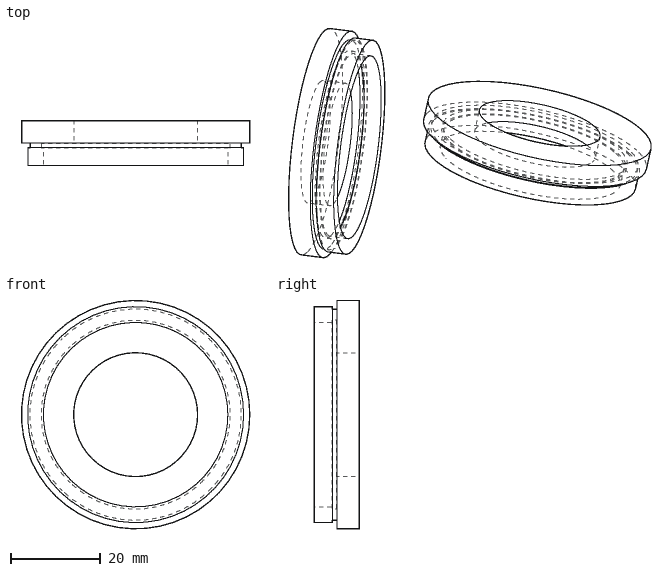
import cadquery as cq

outer_diameter = 50.8
total_width = 10.0
flange_width = 5.0
neck_diameter = 47.0
neck_width = 1.0
rim_diameter = 48.0
recess_diameter = 41.0
recess_depth = 5.0
undercut_diameter = 42.0
undercut_width = 1.0
bore_diameter = 27.5

rim_width = total_width - flange_width - neck_width


def disc(diameter, start, width):
    """Solid disc on the Y axis, extending toward +Y from start."""
    plane = cq.Workplane("XZ", origin=(0, start, 0))
    return plane.circle(diameter / 2).extrude(-width)


rim = disc(rim_diameter, 0, rim_width)
neck = disc(neck_diameter, rim_width, neck_width)
flange = disc(outer_diameter, rim_width + neck_width, flange_width)

recess = disc(recess_diameter, 0, recess_depth)
undercut = disc(undercut_diameter, recess_depth - undercut_width, undercut_width)
bore = disc(bore_diameter, 0, total_width)

result = rim.union(neck).union(flange).cut(recess).cut(undercut).cut(bore)